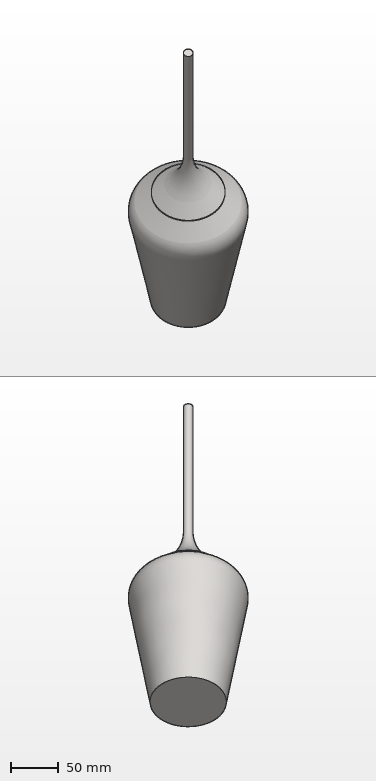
import cadquery as cq
import math

total_height = 406.5
rod_radius = 10.0 / 2
rod_bottom_z = 233.0

neck_base_radius = 25.0
neck_base_z = 188.5
rim_radius = 77.2 / 2
rim_top_z = 176.0
rim_height = 1.2

max_radius = 62.8
shoulder_radius = 22.8
shoulder_center_z = 143.0
shoulder_center_r = max_radius - shoulder_radius
wall_angle = 9.2
shoulder_top_angle = 45.0


def shoulder_point(angle):
    """Point (radius, z) on the shoulder arc at an angle above horizontal."""
    a = math.radians(angle)
    return (
        shoulder_center_r + shoulder_radius * math.cos(a),
        shoulder_center_z + shoulder_radius * math.sin(a),
    )


wall_top = shoulder_point(-wall_angle)
base_radius = wall_top[0] - wall_top[1] * math.tan(math.radians(wall_angle))

profile = (
    cq.Workplane("XZ")
    .lineTo(base_radius, 0)
    .lineTo(*wall_top)
    .threePointArc(shoulder_point(0), shoulder_point(shoulder_top_angle))
    .lineTo(rim_radius, rim_top_z - rim_height)
    .lineTo(rim_radius, rim_top_z)
    .lineTo(neck_base_radius, neck_base_z)
    .tangentArcPoint((rod_radius, rod_bottom_z), relative=False)
    .lineTo(rod_radius, total_height)
    .lineTo(0, total_height)
    .close()
)

result = profile.revolve(360, (0, 0, 0), (0, 1, 0))